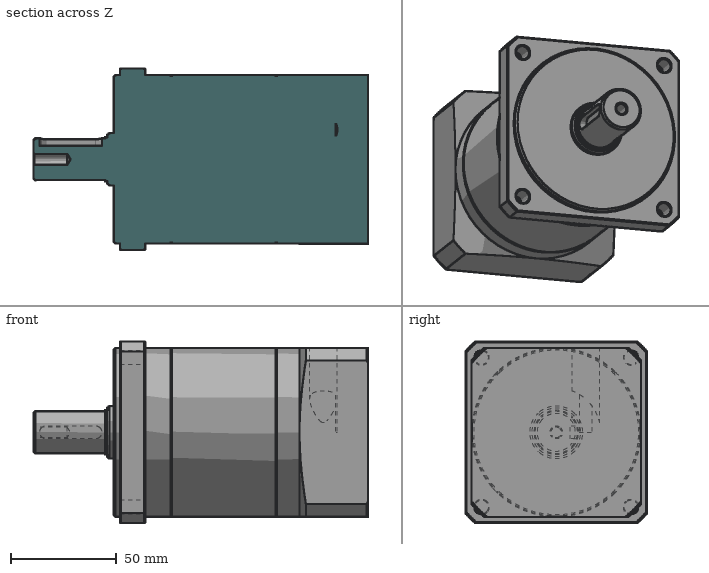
import cadquery as cq
import math

SHOULDER_X = 34.0
COLLAR_X = 35.0
PILOT_X = 38.0
FLANGE_X = 41.0
FLANGE_THICKNESS = 12.0
GROOVE_STARTS = (65.0, 114.7)
BLOCK_X = 126.0
TOTAL_LENGTH = 158.5

SHAFT_RADIUS = 10.0
SHAFT_CHAMFER = 1.0
SHOULDER_RADIUS = 10.5
COLLAR_RADIUS = 12.5
COLLAR_CHAMFER = 1.0

KEY_WIDTH = 6.0
KEY_DEPTH = 3.5
KEY_START = 3.0
KEY_LENGTH = 29.5

CENTRE_HOLE_RADIUS = 2.5
CENTRE_HOLE_DEPTH = 16.0
CENTRE_HOLE_CHAMFER = 0.5
DRILL_TIP_ANGLE = 118.0

HOUSING_RADIUS = 40.0
PILOT_CHAMFER = 1.0
GROOVE_WIDTH = 0.6
GROOVE_DEPTH = 0.4

FLANGE_SIDE = 86.0
FLANGE_CORNER_RADIUS = 57.5
FLANGE_CHAMFER = 0.5
BOLT_CIRCLE_RADIUS = 50.0
BOLT_HOLE_ANGLES = (45, 135, 225, 315)
BOLT_HOLE_RADIUS = 3.25
BOLT_HOLE_CHAMFER = 0.4

BLOCK_SIDE = 2 * HOUSING_RADIUS
BLOCK_CORNER_RADIUS = 52.5
BLOCK_CONE_LENGTH = 3.0
BLOCK_REAR_CHAMFER = 0.7

ACCESS_X = 137.3
ACCESS_Y = 14.0
ACCESS_RADIUS = 6.5
HUB_RADIUS = 21.0
HUB_END_X = 143.1


def turned(profile):
    """Solid of revolution about X from a closed (x, radius) profile."""
    return cq.Workplane("XY").polyline(profile).close().revolve(360, (0, 0, 0), (1, 0, 0))


def square_bar(start, length, side):
    """Square bar centred on the X axis."""
    return cq.Workplane("YZ", origin=(start, 0, 0)).rect(side, side).extrude(length)


def rod(start, length, radius):
    """Round bar centred on the X axis."""
    return cq.Workplane("YZ", origin=(start, 0, 0)).circle(radius).extrude(length)


def make_spindle():
    """Stepped shaft, seal collar, pilot and round housing in one turned body."""
    return turned([
        (0, 0),
        (0, SHAFT_RADIUS - SHAFT_CHAMFER),
        (SHAFT_CHAMFER, SHAFT_RADIUS),
        (SHOULDER_X, SHAFT_RADIUS),
        (SHOULDER_X, SHOULDER_RADIUS),
        (COLLAR_X, SHOULDER_RADIUS),
        (COLLAR_X, COLLAR_RADIUS - COLLAR_CHAMFER),
        (COLLAR_X + COLLAR_CHAMFER, COLLAR_RADIUS),
        (PILOT_X, COLLAR_RADIUS),
        (PILOT_X, HOUSING_RADIUS - PILOT_CHAMFER),
        (PILOT_X + PILOT_CHAMFER, HOUSING_RADIUS),
        (BLOCK_X, HOUSING_RADIUS),
        (BLOCK_X, 0),
    ])


def make_flange():
    """Square mounting flange with turned corners and chamfered face edges."""
    square = square_bar(FLANGE_X, FLANGE_THICKNESS, FLANGE_SIDE)
    blank = square.intersect(rod(FLANGE_X, FLANGE_THICKNESS, FLANGE_CORNER_RADIUS))
    return blank.faces("<X or >X").chamfer(FLANGE_CHAMFER)


def make_block():
    """Square motor block turned to a cone in front and chamfered at the rear corners."""
    envelope = turned([
        (BLOCK_X, 0),
        (BLOCK_X, HOUSING_RADIUS),
        (BLOCK_X + BLOCK_CONE_LENGTH, BLOCK_CORNER_RADIUS),
        (TOTAL_LENGTH - BLOCK_REAR_CHAMFER, BLOCK_CORNER_RADIUS),
        (TOTAL_LENGTH, BLOCK_CORNER_RADIUS - BLOCK_REAR_CHAMFER),
        (TOTAL_LENGTH, 0),
    ])
    return square_bar(BLOCK_X, TOTAL_LENGTH - BLOCK_X, BLOCK_SIDE).intersect(envelope)


def make_groove(start):
    """Ring that cuts one joint groove around the housing."""
    outer = rod(start, GROOVE_WIDTH, HOUSING_RADIUS + GROOVE_DEPTH)
    return outer.cut(rod(start, GROOVE_WIDTH, HOUSING_RADIUS - GROOVE_DEPTH))


def make_keyway():
    """Round-ended key slot, sunk from the +Y side of the shaft."""
    floor_y = SHAFT_RADIUS - KEY_DEPTH
    middle_x = KEY_START + KEY_LENGTH / 2
    plane = cq.Plane(origin=(middle_x, floor_y, 0), xDir=(1, 0, 0), normal=(0, 1, 0))
    return cq.Workplane(plane).slot2D(KEY_LENGTH, KEY_WIDTH).extrude(2 * KEY_DEPTH)


def make_centre_hole():
    """Chamfered blind hole with a drill-point bottom in the shaft tip."""
    tip_length = CENTRE_HOLE_RADIUS / math.tan(math.radians(DRILL_TIP_ANGLE / 2))
    return turned([
        (0, 0),
        (0, CENTRE_HOLE_RADIUS + CENTRE_HOLE_CHAMFER),
        (CENTRE_HOLE_CHAMFER, CENTRE_HOLE_RADIUS),
        (CENTRE_HOLE_DEPTH, CENTRE_HOLE_RADIUS),
        (CENTRE_HOLE_DEPTH + tip_length, 0),
    ])


def make_bolt_holes():
    """Four through holes on the flange diagonals, countersunk on the mounting face."""
    hole = turned([
        (FLANGE_X, 0),
        (FLANGE_X, BOLT_HOLE_RADIUS + BOLT_HOLE_CHAMFER),
        (FLANGE_X + BOLT_HOLE_CHAMFER, BOLT_HOLE_RADIUS),
        (FLANGE_X + FLANGE_THICKNESS, BOLT_HOLE_RADIUS),
        (FLANGE_X + FLANGE_THICKNESS, 0),
    ]).translate((0, BOLT_CIRCLE_RADIUS, 0))
    holes = cq.Workplane("XY")
    for angle in BOLT_HOLE_ANGLES:
        holes = holes.add(hole.rotate((0, 0, 0), (1, 0, 0), angle))
    return holes.combine()


def make_access_hole():
    """Vertical hole from the block top that leaves the round clamping hub standing."""
    drill = (
        cq.Workplane("XY")
        .center(ACCESS_X, ACCESS_Y)
        .circle(ACCESS_RADIUS)
        .extrude(BLOCK_SIDE / 2)
    )
    return drill.cut(rod(BLOCK_X, HUB_END_X - BLOCK_X, HUB_RADIUS))


result = make_spindle().union(make_flange()).union(make_block())
for groove_start in GROOVE_STARTS:
    result = result.cut(make_groove(groove_start))
result = result.cut(make_keyway())
result = result.cut(make_centre_hole())
result = result.cut(make_bolt_holes())
result = result.cut(make_access_hole())